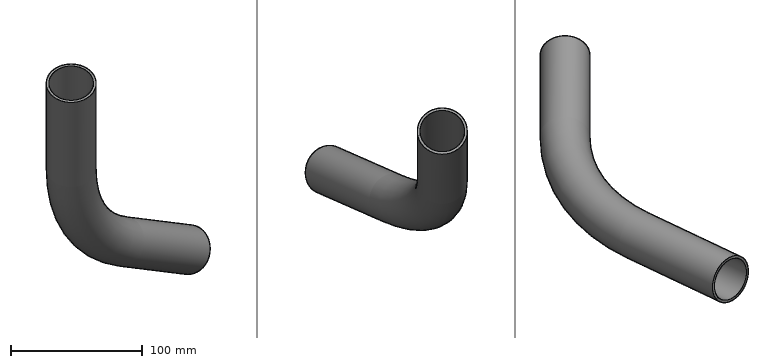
import cadquery as cq
import math

overall_height = 321.5
outer_diameter = 38.0
inner_diameter = 33.8
leg_length = 101.0
bend_angle = 45.0

sine = math.sin(math.radians(bend_angle))
cosine = math.cos(math.radians(bend_angle))
end_face_drop = outer_diameter / 2 * sine
bend_height = overall_height - leg_length * (1 + cosine) - end_face_drop
bend_radius = bend_height / sine


def bend_point(angle):
    """Point (Y, Z) on the bend centreline, at an angle from its upper end."""
    turn = math.radians(angle)
    return bend_radius * (1 - math.cos(turn)), -bend_radius * math.sin(turn)


bend_end = bend_point(bend_angle)
slanted_end = (bend_end[0] + leg_length * sine, bend_end[1] - leg_length * cosine)
centreline = (
    cq.Workplane("YZ")
    .moveTo(0, leg_length)
    .lineTo(0, 0)
    .threePointArc(bend_point(bend_angle / 2), bend_end)
    .lineTo(*slanted_end)
)

result = (
    cq.Workplane("XY", origin=(0, 0, leg_length))
    .circle(outer_diameter / 2)
    .circle(inner_diameter / 2)
    .sweep(centreline)
)